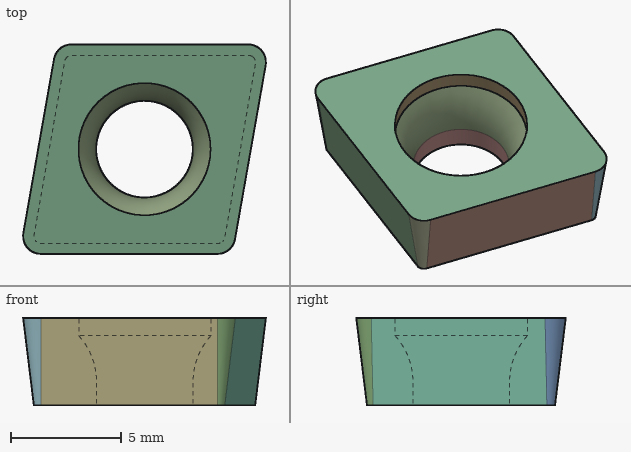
import cadquery as cq
import math

inscribed_diameter = 9.53
thickness = 3.97
acute_angle = math.radians(80)
corner_radius = 0.82
relief_angle = 7.0

recess_diameter = 6.01
recess_depth = 0.8
bore_diameter = 4.38
seat_radius = 3.09


def rhombus_body():
    """Rhombus with rounded corners, narrowing downwards from the top face."""
    side = inscribed_diameter / math.sin(acute_angle)
    lean = side * math.cos(acute_angle)
    half_length = (side + lean) / 2
    half_width = inscribed_diameter / 2
    corners = [
        (-half_length, -half_width),
        (half_length - lean, -half_width),
        (half_length, half_width),
        (lean - half_length, half_width),
    ]
    outline = cq.Sketch().polygon(corners + corners[:1]).vertices().fillet(corner_radius)
    return (
        cq.Workplane("XY", origin=(0, 0, thickness))
        .placeSketch(outline)
        .extrude(-thickness, taper=relief_angle)
    )


def screw_hole():
    """Revolved cutter; the seat is a convex flare that meets the bore wall tangentially."""
    recess_radius = recess_diameter / 2
    bore_radius = bore_diameter / 2
    arc_center_x = bore_radius + seat_radius
    flare_angle = math.acos((arc_center_x - recess_radius) / seat_radius)
    seat_top = thickness - recess_depth
    seat_bottom = seat_top - seat_radius * math.sin(flare_angle)
    seat_middle = (
        arc_center_x - seat_radius * math.cos(flare_angle / 2),
        seat_bottom + seat_radius * math.sin(flare_angle / 2),
    )
    return (
        cq.Workplane("XZ")
        .moveTo(0, thickness)
        .lineTo(recess_radius, thickness)
        .lineTo(recess_radius, seat_top)
        .threePointArc(seat_middle, (bore_radius, seat_bottom))
        .lineTo(bore_radius, 0)
        .lineTo(0, 0)
        .close()
        .revolve(360, (0, 0, 0), (0, 1, 0))
    )


result = rhombus_body().cut(screw_hole())